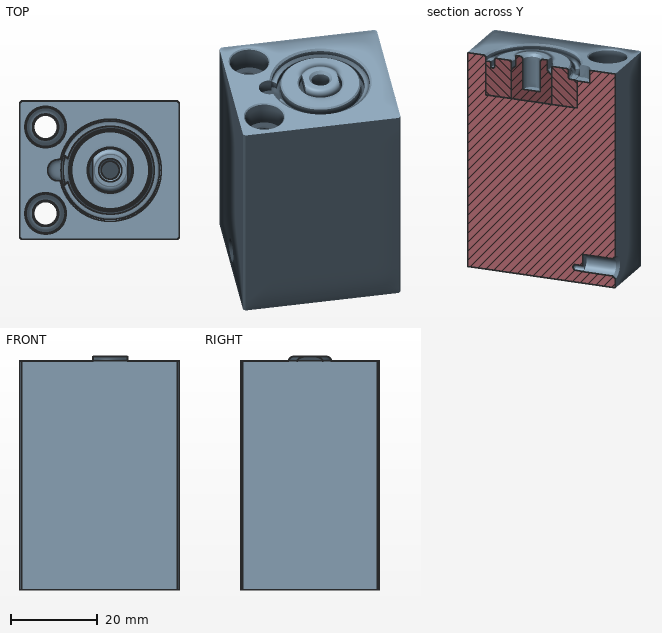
import cadquery as cq
import math

TOTAL_HEIGHT = 54.0
BLOCK_X = 37.0
BLOCK_Y = 32.0
BLOCK_Z = 53.0
EDGE_CHAMFER = 0.5
ROD_X = 2.5

BOLT_X = -12.5
BOLT_Y = 10.0
BOLT_DIAMETER = 5.5
COUNTERBORE_DIAMETER = 9.0
COUNTERBORE_DEPTH = 5.65
BOLT_CHAMFER = 0.25

PORT_Z = 5.0
PORT_RIM_DIAMETER = 5.5
PORT_DIAMETER = 4.15
PORT_DEPTH = 8.1
PORT_CHAMFER = (PORT_RIM_DIAMETER - PORT_DIAMETER) / 2
DUCT_DIAMETER = 1.3
DUCT_DROP = 1.35
DUCT_LENGTH = 2.15
DRILL_HALF_ANGLE = math.radians(59)

GLAND_DIAMETER = 22.8
GLAND_BOTTOM = 43.2
POCKET_CHAMFER = 0.45
SHOULDER_Z = 50.05
SHOULDER_STEP_WIDTH = 0.5
SHOULDER_STEP_DEPTH = 0.15
LIP_INNER_DIAMETER = 20.35
LIP_TOP = 51.55
LIP_GAP_APEX = 7.15
COLLAR_DIAMETER = 18.5
COLLAR_TOP = 52.6
COLLAR_CHAMFER = 0.3
COLLAR_FOOT = 0.3
WIPER_CHAMFER = 0.3

NOTCH_RADIUS = 2.5
NOTCH_OFFSET = 12.0
NOTCH_FLOOR = SHOULDER_Z - SHOULDER_STEP_DEPTH

ROD_DIAMETER = 10.0
ROD_FILLET = 1.25
ROD_FLATS = 8.0
FLAT_BOTTOM = 51.4
ROD_HOLE_DIAMETER = 4.15
ROD_HOLE_DEPTH = 8.1
ROD_HOLE_CHAMFER = 0.6


def disc(diameter, bottom, top, x=ROD_X, y=0):
    """Upright cylinder between two levels."""
    return cq.Workplane("XY", origin=(x, y, bottom)).circle(diameter / 2).extrude(top - bottom)


def cone(bottom_diameter, top_diameter, bottom, top, x=ROD_X, y=0):
    """Upright cone frustum between two levels."""
    solid = cq.Solid.makeCone(bottom_diameter / 2, top_diameter / 2, top - bottom, cq.Vector(x, y, bottom))
    return cq.Workplane(solid)


def bolt_hole(y):
    """Through hole with a counterbore, both with chamfered mouths."""
    floor = BLOCK_Z - COUNTERBORE_DEPTH
    growth = 2 * BOLT_CHAMFER
    hole = disc(BOLT_DIAMETER, 0, BLOCK_Z, BOLT_X, y)
    hole = hole.union(disc(COUNTERBORE_DIAMETER, floor, BLOCK_Z, BOLT_X, y))
    for diameter, mouth in ((BOLT_DIAMETER, floor), (COUNTERBORE_DIAMETER, BLOCK_Z)):
        hole = hole.union(cone(diameter, diameter + growth, mouth - BOLT_CHAMFER, mouth, BOLT_X, y))
    return hole


def side_port():
    """Countersunk port in the -X face, with a small drilled duct in its floor."""
    port_radius = PORT_DIAMETER / 2
    profile = [
        (0, 0),
        (0, PORT_RIM_DIAMETER / 2),
        (PORT_CHAMFER, port_radius),
        (PORT_DEPTH, port_radius),
        (PORT_DEPTH, 0),
    ]
    port = cq.Workplane("XZ").polyline(profile).close().revolve(360, (0, 0), (1, 0))
    duct_radius = DUCT_DIAMETER / 2
    tip = duct_radius / math.tan(DRILL_HALF_ANGLE)
    duct_end = PORT_DEPTH + DUCT_LENGTH
    duct_profile = [
        (PORT_DEPTH, 0),
        (PORT_DEPTH, duct_radius),
        (duct_end, duct_radius),
        (duct_end + tip, 0),
    ]
    duct = cq.Workplane("XZ").polyline(duct_profile).close().revolve(360, (0, 0), (1, 0))
    port = port.union(duct.translate((0, 0, -DUCT_DROP)))
    return port.translate((-BLOCK_X / 2, 0, PORT_Z))


def removal_notch():
    """Round-ended slot that opens into the gland pocket."""
    depth = BLOCK_Z - NOTCH_FLOOR
    notch_x = ROD_X - NOTCH_OFFSET
    notch = disc(2 * NOTCH_RADIUS, NOTCH_FLOOR, BLOCK_Z, notch_x)
    slot = cq.Workplane("XY").box(NOTCH_OFFSET, 2 * NOTCH_RADIUS, depth, centered=(False, True, False))
    return notch.union(slot.translate((notch_x, 0, NOTCH_FLOOR)))


def make_housing():
    block = cq.Workplane("XY").box(BLOCK_X, BLOCK_Y, BLOCK_Z, centered=(True, True, False))
    block = block.edges("|Z").chamfer(EDGE_CHAMFER)
    block = block.cut(disc(GLAND_DIAMETER, GLAND_BOTTOM, BLOCK_Z))
    mouth_diameter = GLAND_DIAMETER + 2 * POCKET_CHAMFER
    block = block.cut(cone(GLAND_DIAMETER, mouth_diameter, BLOCK_Z - POCKET_CHAMFER, BLOCK_Z))
    block = block.cut(removal_notch())
    for y in (-BOLT_Y, BOLT_Y):
        block = block.cut(bolt_hole(y))
    return block.cut(side_port())


def split_lip():
    """Raised outer ring of the gland, open on the notch side."""
    lip_bottom = SHOULDER_Z - SHOULDER_STEP_DEPTH
    lip = disc(GLAND_DIAMETER, lip_bottom, LIP_TOP).cut(disc(LIP_INNER_DIAMETER, lip_bottom, LIP_TOP))
    half_width = GLAND_DIAMETER - LIP_GAP_APEX
    gap = (
        cq.Workplane("XY", origin=(ROD_X, 0, lip_bottom))
        .polyline([(-LIP_GAP_APEX, 0), (-GLAND_DIAMETER, half_width), (-GLAND_DIAMETER, -half_width)])
        .close()
        .extrude(LIP_TOP - lip_bottom)
    )
    return lip.cut(gap)


def make_gland():
    step_z = SHOULDER_Z - SHOULDER_STEP_DEPTH
    base = disc(GLAND_DIAMETER, GLAND_BOTTOM, step_z)
    base = base.union(disc(GLAND_DIAMETER - 2 * SHOULDER_STEP_WIDTH, step_z, SHOULDER_Z))
    collar = disc(COLLAR_DIAMETER, GLAND_BOTTOM, COLLAR_TOP).faces(">Z").edges().chamfer(COLLAR_CHAMFER)
    foot_diameter = COLLAR_DIAMETER + 2 * COLLAR_FOOT
    foot = cone(foot_diameter, COLLAR_DIAMETER, SHOULDER_Z, SHOULDER_Z + COLLAR_FOOT)
    gland = base.union(collar).union(foot).union(split_lip())
    gland = gland.cut(disc(ROD_DIAMETER, GLAND_BOTTOM, COLLAR_TOP))
    wiper_diameter = ROD_DIAMETER + 2 * WIPER_CHAMFER
    return gland.cut(cone(ROD_DIAMETER, wiper_diameter, COLLAR_TOP - WIPER_CHAMFER, COLLAR_TOP))


def rod_flat():
    """Cutter for the +X flat, with a 45 degree run-out at its lower end."""
    inner = ROD_FLATS / 2
    outer = ROD_DIAMETER / 2
    profile = [
        (inner, TOTAL_HEIGHT),
        (inner, FLAT_BOTTOM),
        (outer, FLAT_BOTTOM - (outer - inner)),
        (outer, TOTAL_HEIGHT),
    ]
    return cq.Workplane("XZ").polyline(profile).close().extrude(ROD_DIAMETER / 2, both=True)


def make_rod():
    rod = disc(ROD_DIAMETER, GLAND_BOTTOM, TOTAL_HEIGHT).faces(">Z").edges().fillet(ROD_FILLET)
    hole_floor = TOTAL_HEIGHT - ROD_HOLE_DEPTH
    rod = rod.cut(disc(ROD_HOLE_DIAMETER, hole_floor, TOTAL_HEIGHT))
    mouth_diameter = ROD_HOLE_DIAMETER + 2 * ROD_HOLE_CHAMFER
    rod = rod.cut(cone(ROD_HOLE_DIAMETER, mouth_diameter, TOTAL_HEIGHT - ROD_HOLE_CHAMFER, TOTAL_HEIGHT))
    for turn in (0, 180):
        flat = rod_flat().rotate((0, 0, 0), (0, 0, 1), turn)
        rod = rod.cut(flat.translate((ROD_X, 0, 0)))
    return rod


housing = make_housing()
gland = make_gland()
rod = make_rod()

result = cq.Compound.makeCompound([housing.val(), gland.val(), rod.val()])